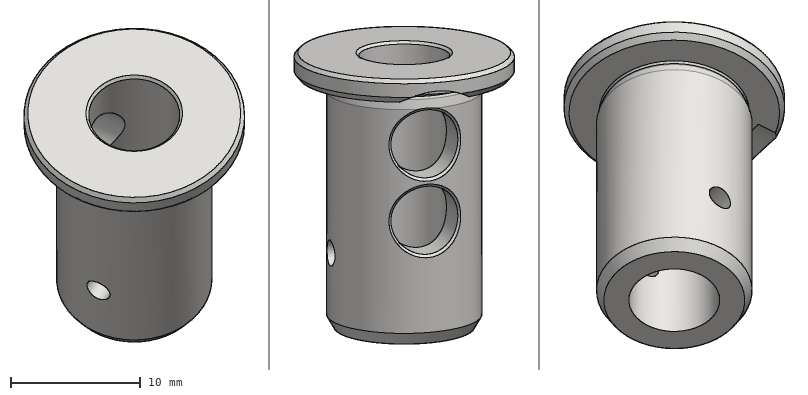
import cadquery as cq

height = 21.8
flange_dia = 17.0
body_dia = 12.0
bore_dia = 7.0

flange_thickness = 1.87
flange_top_chamfer = 0.3
flange_bottom_chamfer_width = 0.4
flange_bottom_chamfer_height = 0.48

neck_dia = 11.6
groove_depth = 0.1
groove_height = 0.4
lead_in_height = 0.75

tip_width = 0.57
tip_height = 1.0
bore_chamfer = 0.22

side_hole_dia = 5.4
side_hole_chamfer = 0.22
side_hole_spacing = 6.08
upper_hole_z = 15.95

pin_dia = 2.0
pin_z = 6.32

clearance_dia = 9.72

flange_radius = flange_dia / 2
body_radius = body_dia / 2
neck_radius = neck_dia / 2
bore_radius = bore_dia / 2
flange_bottom_z = height - flange_thickness


def revolved(outline):
    """Solid turned about Z from (radius, height) points."""
    return cq.Workplane("XZ").polyline(outline).close().revolve(360, (0, 0), (0, 1))


def barrel():
    """Plain cylinder with the two side holes drilled to its axis and evenly bevelled at the mouth."""
    solid = cq.Workplane("XY").circle(body_radius).extrude(flange_bottom_z)
    hole_radius = side_hole_dia / 2
    for z in (upper_hole_z, upper_hole_z - side_hole_spacing):
        drill = cq.Workplane("YZ", origin=(0, 0, z)).circle(hole_radius).extrude(-body_radius)
        solid = solid.cut(drill)
        mouth_edge = cq.selectors.BoxSelector(
            (-body_radius, -hole_radius, z - hole_radius),
            (-bore_radius, hole_radius, z + hole_radius),
        )
        solid = solid.edges(mouth_edge).chamfer(side_hole_chamfer)
    return solid


def neck_relief():
    """Ring removed from the top of the barrel: lead-in taper, then a V groove under the flange."""
    neck_bottom_z = flange_bottom_z - groove_height
    lead_in_bottom_z = neck_bottom_z - lead_in_height
    return revolved([
        (body_radius, lead_in_bottom_z),
        (neck_radius, neck_bottom_z),
        (neck_radius - groove_depth, flange_bottom_z - groove_height / 2),
        (neck_radius, flange_bottom_z),
        (flange_radius, flange_bottom_z),
        (flange_radius, lead_in_bottom_z),
    ])


def tip_relief():
    """Ring removed from the bottom of the barrel to leave a conical tip."""
    return revolved([
        (body_radius - tip_width, 0),
        (body_radius, tip_height),
        (flange_radius, tip_height),
        (flange_radius, 0),
    ])


def flange():
    """Disc bevelled on both rims."""
    return revolved([
        (0, flange_bottom_z),
        (flange_radius - flange_bottom_chamfer_width, flange_bottom_z),
        (flange_radius, flange_bottom_z + flange_bottom_chamfer_height),
        (flange_radius, height - flange_top_chamfer),
        (flange_radius - flange_top_chamfer, height),
        (0, height),
    ])


def bore():
    """Through bore along Z, bevelled at its top mouth."""
    return revolved([
        (0, 0),
        (bore_radius, 0),
        (bore_radius, height - bore_chamfer),
        (bore_radius + bore_chamfer, height),
        (0, height),
    ])


def pin_hole():
    """Cross hole through both walls along Y."""
    return cq.Workplane("XZ", origin=(0, 0, pin_z)).circle(pin_dia / 2).extrude(body_radius, both=True)


def flange_clearance():
    """Round clearance around the upper side hole, cut into the flange as deep as the body surface."""
    cutter = cq.Workplane("YZ", origin=(-body_radius, 0, upper_hole_z)).circle(clearance_dia / 2)
    return cutter.extrude(body_radius - flange_radius)


result = barrel().cut(neck_relief()).cut(tip_relief()).union(flange())
result = result.cut(bore()).cut(pin_hole()).cut(flange_clearance())